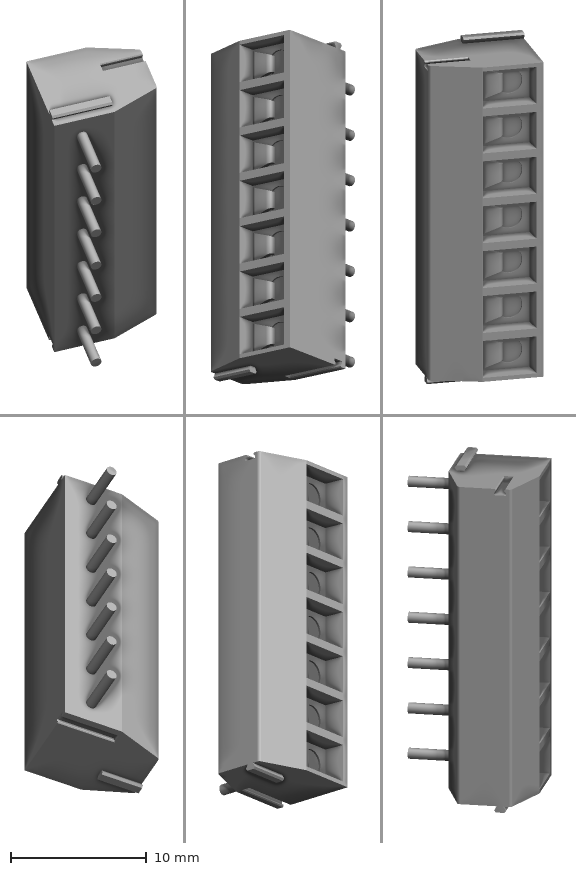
import cadquery as cq


pole_count = 7
overall_width = 10.3
overall_height = 25.45
rail_height = 0.48
body_width = 6.82
body_depth = 8.4
body_height = overall_height - 2 * rail_height
pitch = body_height / pole_count
taper_start = 4.65
taper_inset = 1.4
taper_corner_radius = 0.25

pin_length = overall_width - body_width
pin_radius = 0.4
pin_y = 2.15

recess_depth = 1.6
recess_height = 2.88
recess_top_y = 4.63
recess_mouth_bottom_y = 0.53
recess_floor_bottom_y = 0.65

screw_radius = 1.0
screw_y = 2.22
screw_depth = 1.75

wedge_top_depth = 1.22
wedge_round = 0.4
wedge_wide_y = 4.12
wedge_narrow_y = 3.1
wedge_wide_half = 1.1
wedge_narrow_half = 0.76
wedge_flare_mid_half = 1.2
wedge_flare_half = 1.35

front_rail_x = 5.93
front_rail_length = 4.65
back_rail_x = 2.25
back_rail_start = 5.1
back_rail_length = body_depth - back_rail_start
rail_base_half = 0.25
rail_wide_half = 0.445
rail_top_half = 0.3
rail_wide_height = 0.33
groove_mouth_half = 0.38
groove_neck_half = 0.3
groove_wide_half = 0.45
groove_rim_height = 0.08
groove_neck_height = 0.15
groove_wide_height = 0.3


def make_body():
    body = (
        cq.Workplane("XY")
        .polyline([
            (0, 0),
            (body_width, 0),
            (body_width, taper_start),
            (body_width - taper_inset, body_depth),
            (taper_inset, body_depth),
            (0, taper_start),
        ])
        .close()
        .extrude(body_height)
    )
    return body.edges("|Z and >Y").fillet(taper_corner_radius)


def make_recess(center_z):
    """Recess with a sloping lower wall and a round hole sunk in its floor."""
    recess = (
        cq.Workplane("XY", origin=(0, 0, center_z))
        .polyline([
            (0, recess_mouth_bottom_y),
            (recess_depth, recess_floor_bottom_y),
            (recess_depth, recess_top_y),
            (0, recess_top_y),
        ])
        .close()
        .extrude(recess_height / 2, both=True)
    )
    hole = (
        cq.Workplane("YZ", origin=(recess_depth, screw_y, center_z))
        .circle(screw_radius)
        .extrude(screw_depth - recess_depth)
    )
    return recess.union(hole)


def make_wedge(center_z):
    """Raised wedge, flaring towards +Y, with both ends rounded over."""
    wide_end_y = wedge_wide_y + wedge_round
    narrow_end_y = wedge_narrow_y - wedge_round
    side_slope = (wedge_wide_half - wedge_narrow_half) / (wedge_wide_y - wedge_narrow_y)
    narrow_end_half = wedge_narrow_half - side_slope * wedge_round
    flare_mid_y = wedge_wide_y + wedge_round / 2
    flared_block = (
        cq.Workplane("YZ", origin=(0, 0, center_z))
        .moveTo(narrow_end_y, narrow_end_half)
        .lineTo(wedge_wide_y, wedge_wide_half)
        .threePointArc((flare_mid_y, wedge_flare_mid_half), (wide_end_y, wedge_flare_half))
        .lineTo(wide_end_y, -wedge_flare_half)
        .threePointArc((flare_mid_y, -wedge_flare_mid_half), (wedge_wide_y, -wedge_wide_half))
        .lineTo(narrow_end_y, -narrow_end_half)
        .close()
        .extrude(screw_depth)
    )
    rounded_bar = (
        cq.Workplane("XY", origin=(0, 0, center_z))
        .moveTo(screw_depth, narrow_end_y)
        .lineTo(wedge_top_depth + wedge_round, narrow_end_y)
        .radiusArc((wedge_top_depth, wedge_narrow_y), wedge_round)
        .lineTo(wedge_top_depth, wedge_wide_y)
        .radiusArc((wedge_top_depth + wedge_round, wide_end_y), wedge_round)
        .lineTo(screw_depth, wide_end_y)
        .close()
        .extrude(recess_height / 2, both=True)
    )
    return flared_block.intersect(rounded_bar)


def make_pin(center_z):
    return (
        cq.Workplane("YZ", origin=(body_width, pin_y, center_z))
        .circle(pin_radius)
        .extrude(pin_length)
    )


def profile_bar(profile, center_x, start_y, length, base_z, up):
    """Extrude a symmetric (half width, height) profile along +Y, rising (up = 1) or falling (up = -1)."""
    right = [(center_x + half, base_z + up * height) for half, height in profile]
    left = [(center_x - half, base_z + up * height) for half, height in reversed(profile)]
    return (
        cq.Workplane("XZ", origin=(0, start_y, 0))
        .polyline(right + left)
        .close()
        .extrude(-length)
    )


rail_profile = [
    (rail_base_half, 0),
    (rail_wide_half, rail_wide_height),
    (rail_top_half, rail_height),
]
groove_profile = [
    (groove_mouth_half, 0),
    (groove_neck_half, groove_rim_height),
    (groove_neck_half, groove_neck_height),
    (groove_wide_half, groove_wide_height),
    (groove_wide_half, rail_height),
]

result = make_body()

for pole in range(pole_count):
    center_z = (pole + 0.5) * pitch
    result = (
        result
        .cut(make_recess(center_z))
        .union(make_wedge(center_z))
        .union(make_pin(center_z))
    )

front = (front_rail_x, 0, front_rail_length)
back = (back_rail_x, back_rail_start, back_rail_length)
result = (
    result
    .union(profile_bar(rail_profile, *front, body_height, 1))
    .cut(profile_bar(groove_profile, *front, 0, 1))
    .union(profile_bar(rail_profile, *back, 0, -1))
    .cut(profile_bar(groove_profile, *back, body_height, -1))
)